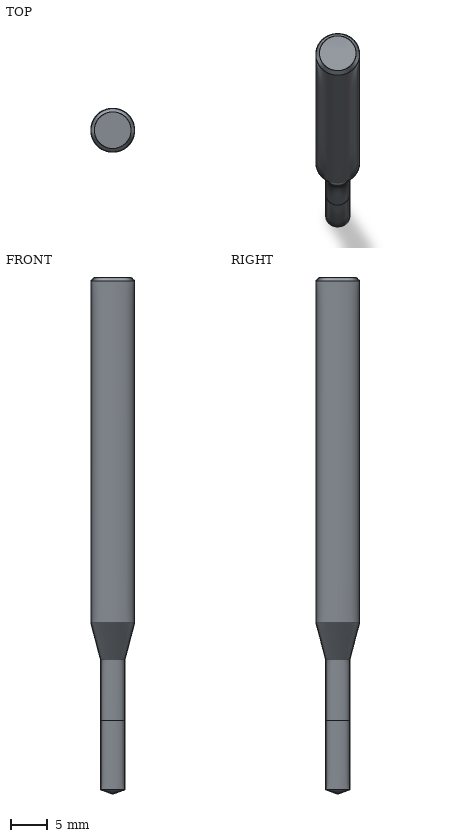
import cadquery as cq
import math

total_length = 70.6
shank_diameter = 6.0
shank_radius = shank_diameter / 2
cutter_diameter = 3.3
cutter_radius = cutter_diameter / 2
neck_radius = cutter_radius

cutter_top = 10.0
taper_bottom = 18.35
taper_top = 23.4

shank_chamfer = 0.5
point_angle = 140.0
point_height = cutter_radius / math.tan(math.radians(point_angle / 2))


def revolve_profile(points):
    """Turn a closed (radius, height) outline about the Z axis."""
    return cq.Workplane("XZ").polyline(points).close().revolve(360, (0, 0, 0), (0, 1, 0))


def make_shank():
    """Cylindrical shank with a chamfered top, tapering down to a neck as wide as the cutter."""
    return revolve_profile([
        (0, cutter_top),
        (neck_radius, cutter_top),
        (neck_radius, taper_bottom),
        (shank_radius, taper_top),
        (shank_radius, total_length - shank_chamfer),
        (shank_radius - shank_chamfer, total_length),
        (0, total_length),
    ])


def make_cutter():
    """Cylindrical cutting end with a conical point, butted against the neck."""
    return revolve_profile([
        (0, 0),
        (cutter_radius, point_height),
        (cutter_radius, cutter_top),
        (0, cutter_top),
    ])


shank = make_shank()
cutter = make_cutter()

result = cq.Compound.makeCompound([shank.val(), cutter.val()])